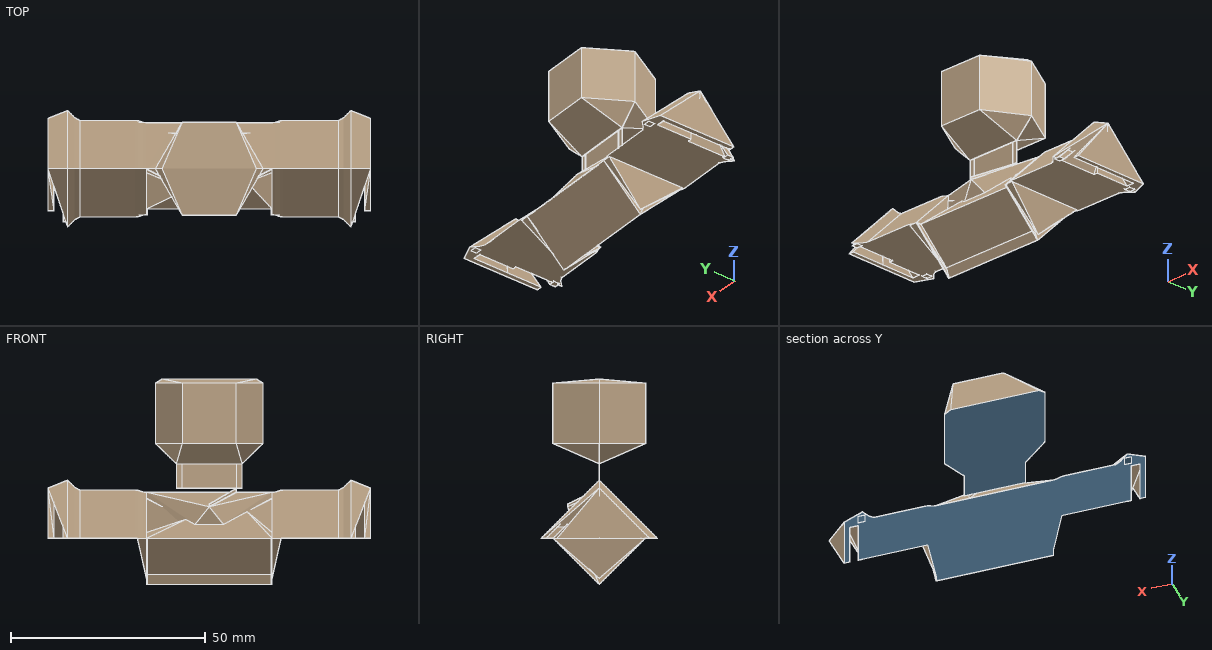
import cadquery as cq
import math

END_X = 41.5
END_RADIUS = 12.95
END_WEB = 1.6
BORE_RADIUS = 10.9
LIP_X = 36.4
LIP_WIDTH = 30.0
LIP_RADIUS = LIP_WIDTH / 2
NECK_X = 34.5
NECK_RADIUS = 13.1
SOCKET_OUTER_X = 33.3
SOCKET_INNER_X = 19.0
SOCKET_RADIUS = 12.45
SHOULDER_X = 18.3
SHOULDER_RADIUS = 12.4
STEP_X = 17.0
STEP_RADIUS = 11.95
CENTRE_X = 16.2
CENTRE_RADIUS = 11.9

INSET_RADIUS = 10.4
KEEL_WIDTH = 1.1
FLANGE_X = 18.5
FLANGE_DEPTH = 10.3
RIM_THICKNESS = 0.25
SPIKE_REACH = 8.1
SPIKE_FOOT_X = 3.65
SPIKE_FOOT_Z = 3.6
LEFT_NOTCH_X = -5.8
LEFT_NOTCH_Z = 5.0
RIGHT_NOTCH_X = 9.7
RIGHT_NOTCH_Z = 6.9
NOTCH_FLOOR_Y = -1.0
NOTCH_FLOOR_Z = 1.5
REAR_SPIKE_Y = 8.1
REAR_SPIKE_Z = 5.9
REAR_FOOT_X = 10.5
REAR_FOOT_Y = 9.2

SEAL_INNER_X = 35.8
SEAL_OUTER_X = 37.6
SEAL_RADIUS = 13.7
SEAL_THICKNESS = 1.8

CAP_RADIUS = 13.9
CAP_BASE_Z = 24.4
CAP_SHOULDER_Z = 39.9
CAP_TOP_Z = 41.0
CAP_RIDGE_X = 12.1
STEM_X = 8.5
STEM_PANEL_X = 7.0
STEM_TOP_Z = 19.2
STEM_BOTTOM_Z = 12.9
STEM_THICKNESS = 0.2
PANEL_THICKNESS = 0.25

FIN_THICKNESS = 0.2
FIN_HEIGHT = 0.7
FIN_ROOT = 0.8

TOLERANCE = 6.89e-07


def convex_solid(points):
    """Flat-faced solid that is the convex hull of the points."""
    points = [cq.Vector(*p) for p in dict.fromkeys(points)]
    faces = {}
    for i, a in enumerate(points):
        for j, b in enumerate(points):
            for c in points[j + 1:]:
                normal = (b - a).cross(c - a)
                if i == j or normal.Length < TOLERANCE:
                    continue
                normal = normal.normalized()
                heights = [(p - a).dot(normal) for p in points]
                if max(heights) > TOLERANCE and min(heights) < -TOLERANCE:
                    continue
                corners = frozenset(k for k, h in enumerate(heights) if abs(h) <= TOLERANCE)
                faces[corners] = normal
    polygons = [hull_face(points, corners, normal) for corners, normal in faces.items()]
    return cq.Solid.makeSolid(cq.Shell.makeShell(polygons))


def hull_face(points, corners, normal):
    """Flat polygon with its corners taken in order around their middle."""
    ring = [points[k] for k in corners]
    middle = sum(ring, cq.Vector()) / len(ring)
    across = (ring[0] - middle).normalized()
    along = normal.cross(across)
    ring.sort(key=lambda p: math.atan2((p - middle).dot(along), (p - middle).dot(across)))
    return cq.Face.makeFromWires(cq.Wire.makePolygon(ring, close=True))


def roof(x, radius):
    """Upper half of a diamond section."""
    return [(x, -radius, 0), (x, 0, radius), (x, radius, 0)]


def mirrored(shape):
    """Right-hand copy of a left-hand shape."""
    return shape.mirror("YZ")


def make_socket():
    """Left socket: stacked half-diamond lengths from the lip to the centre section."""
    stations = [
        (LIP_X, LIP_RADIUS),
        (NECK_X, NECK_RADIUS),
        (SOCKET_OUTER_X, SOCKET_RADIUS),
        (SOCKET_INNER_X, SOCKET_RADIUS),
        (SHOULDER_X, SHOULDER_RADIUS),
        (STEP_X, STEP_RADIUS),
        (CENTRE_X, CENTRE_RADIUS),
    ]
    return [
        convex_solid(roof(-outer_x, outer_radius) + roof(-inner_x, inner_radius))
        for (outer_x, outer_radius), (inner_x, inner_radius) in zip(stations, stations[1:])
    ]


def make_mouth():
    """Left end beyond the lip: hollow rear half, undercut front half and a thin end web."""
    end_peak = (-END_X, 0, END_RADIUS)
    end_middle = (-END_X, 0, 0)
    lip_peak = (-LIP_X, 0, LIP_RADIUS)
    lip_middle = (-LIP_X, 0, 0)
    web_x = END_WEB - END_X
    rear_half = convex_solid([
        end_peak, end_middle, (-END_X, END_RADIUS, 0),
        lip_peak, lip_middle, (-LIP_X, LIP_RADIUS, 0),
    ])
    cavity = convex_solid([
        p for x in (web_x, -SEAL_OUTER_X) for p in ((x, 0, 0), (x, BORE_RADIUS, 0), (x, 0, BORE_RADIUS))
    ])
    front_half = convex_solid([end_peak, lip_peak, lip_middle, (-LIP_X, -LIP_RADIUS, 0)])
    end_web = convex_solid([
        end_peak, end_middle, (-END_X, -BORE_RADIUS, 0), (web_x, 0, 0), (web_x, -BORE_RADIUS, 0),
    ])
    return [rear_half.cut(cavity), front_half, end_web]


def make_notch(side, x, z):
    """Three-sided notch between the front spike and one end of the inset front face."""
    end_x = side * CENTRE_X
    return convex_solid([
        (end_x, 0, CENTRE_RADIUS),
        (x, z - INSET_RADIUS, z),
        (end_x, -INSET_RADIUS, 0),
        (end_x, NOTCH_FLOOR_Y, NOTCH_FLOOR_Z),
    ])


def make_front_spike():
    """Spike on the front, rising from both ends of the top ridge."""
    foot_y = SPIKE_FOOT_Z - INSET_RADIUS
    points = [(0, -SPIKE_REACH, SPIKE_REACH)]
    for side in (-1, 1):
        points += [
            (side * CENTRE_X, 0, CENTRE_RADIUS),
            (side * CENTRE_X, 0, 0),
            (side * SPIKE_FOOT_X, foot_y, SPIKE_FOOT_Z),
        ]
    return convex_solid(points)


def make_fin():
    """Thin upright fin from the front spike to the foot of the stem."""
    half = FIN_THICKNESS / 2
    points = []
    for shift in (-half, half):
        points += [
            (shift, -SPIKE_REACH - shift, SPIKE_REACH),
            (shift, -SPIKE_REACH - shift, SPIKE_REACH + FIN_HEIGHT),
            (STEM_PANEL_X + shift, -shift, STEM_BOTTOM_Z),
            (STEM_PANEL_X + shift, -shift, CENTRE_RADIUS - FIN_ROOT),
        ]
    return convex_solid(points)


def make_rear_spike():
    """Low spike on the rear face below the top ridge."""
    points = [(0, REAR_SPIKE_Y, REAR_SPIKE_Z)]
    for side in (-1, 1):
        points += [
            (side * CENTRE_X, 0, CENTRE_RADIUS),
            (side * CENTRE_X, 0, 0),
            (side * REAR_FOOT_X, REAR_FOOT_Y, CENTRE_RADIUS - REAR_FOOT_Y),
        ]
    return convex_solid(points)


def make_centre():
    """Centre section: prism with an inset, notched front, and its spikes and fin."""
    section = [
        (0, CENTRE_RADIUS),
        (CENTRE_RADIUS, 0),
        (0, -CENTRE_RADIUS),
        (-KEEL_WIDTH, KEEL_WIDTH - INSET_RADIUS),
        (-INSET_RADIUS, 0),
        (0, INSET_RADIUS),
    ]
    prism = cq.Workplane("YZ").polyline(section).close().extrude(CENTRE_X, both=True).val()
    prism = prism.cut(
        make_notch(-1, LEFT_NOTCH_X, LEFT_NOTCH_Z), make_notch(1, RIGHT_NOTCH_X, RIGHT_NOTCH_Z)
    )
    return [prism, make_front_spike(), make_fin(), make_rear_spike()]


def make_flange():
    """Left end of the lower half, leaning out to a ledge below the socket."""
    return convex_solid([
        (-FLANGE_X, -CENTRE_RADIUS, 0),
        (-FLANGE_X, CENTRE_RADIUS, 0),
        (-CENTRE_X, -CENTRE_RADIUS, 0),
        (-CENTRE_X, CENTRE_RADIUS, 0),
        (-CENTRE_X, 0, -FLANGE_DEPTH),
    ])


def make_rim():
    """Thin full-size rim closing the left end of the lower half."""
    return convex_solid([
        p for x in (-CENTRE_X, RIM_THICKNESS - CENTRE_X)
        for p in ((x, -CENTRE_RADIUS, 0), (x, CENTRE_RADIUS, 0), (x, 0, -CENTRE_RADIUS))
    ])


def make_seal():
    """Left seal ring: an angled band seated under the lip."""
    outer, inner = [
        convex_solid(roof(-SEAL_OUTER_X, radius) + roof(-SEAL_INNER_X, radius))
        for radius in (SEAL_RADIUS, SEAL_RADIUS - SEAL_THICKNESS)
    ]
    return outer.cut(inner)


def make_body(seals):
    """Body in one piece, with grooves where the seal rings sit."""
    left_end = make_socket() + make_mouth() + [make_flange(), make_rim()]
    pieces = make_centre() + left_end + [mirrored(piece) for piece in left_end]
    return pieces[0].fuse(*pieces[1:]).cut(*seals).clean()


def box(half_x, thickness, bottom, top):
    """Upright plate centred on the Z axis."""
    return cq.Solid.makeBox(
        2 * half_x, thickness, top - bottom, cq.Vector(-half_x, -thickness / 2, bottom)
    )


def make_cap():
    """Hexagonal cap with a roof ridge on top, tapering below to a flat stem."""
    corners = [
        (CAP_RADIUS * math.cos(math.radians(a)), CAP_RADIUS * math.sin(math.radians(a)))
        for a in range(0, 360, 60)
    ]
    points = [(-CAP_RIDGE_X, 0, CAP_TOP_Z), (CAP_RIDGE_X, 0, CAP_TOP_Z)]
    half = STEM_THICKNESS / 2
    for z in (CAP_BASE_Z, CAP_SHOULDER_Z):
        points += [(x, y, z) for x, y in corners]
    points += [(x, y, STEM_TOP_Z) for x in (-STEM_X, STEM_X) for y in (-half, half)]
    stem = box(STEM_X, STEM_THICKNESS, STEM_BOTTOM_Z, STEM_TOP_Z)
    panel = box(STEM_PANEL_X, PANEL_THICKNESS, STEM_BOTTOM_Z, STEM_TOP_Z)
    return convex_solid(points).fuse(stem, panel).clean()


left_seal = make_seal()
seals = [left_seal, mirrored(left_seal)]
body = make_body(seals)
cap = make_cap()
result = cq.Compound.makeCompound([
    *body.Solids(), *cap.Solids(), *seals[0].Solids(), *seals[1].Solids()
])